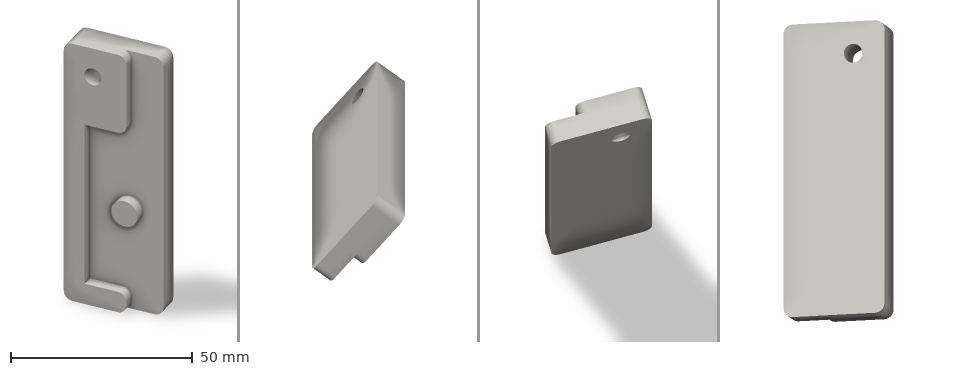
import cadquery as cq

width = 28.75
depth = 9.7
height = 81.9
corner_radius = 2.6

plate_thickness = 6.3
rim_height = depth - plate_thickness
spine_width = 6.4
arm_length = 19.1
top_arm_height = 24.8
bottom_arm_height = 6.5

hole_diameter = 5.25
hole_from_left = 8.9
hole_from_top = 8.9

pin_diameter = 8.0
pin_x = 18.5
pin_z = 31.8


def upright_box(x_size, y_size, z_size, y_start, z_start=0):
    """Box with its left side at X = 0 and its front at y_start."""
    box = cq.Workplane("XY").box(x_size, y_size, z_size, centered=False)
    return box.translate((0, y_start, z_start))


def cylinder_along_y(diameter, length, x, z):
    """Cylinder running back from the front face, Y = 0, towards +Y."""
    return cq.Workplane("XZ").center(x, z).circle(diameter / 2).extrude(-length)


def rim_arm(arm_height, z_start):
    """Rim arm reaching from the left side, with its free corners rounded."""
    arm = upright_box(arm_length, rim_height, arm_height, 0, z_start)
    return arm.edges("|Y").edges(">X").fillet(corner_radius)


plate = upright_box(width, plate_thickness, height, rim_height)
plate = plate.edges("|Y").fillet(corner_radius)

rim = upright_box(spine_width, rim_height, height, 0)
rim = rim.union(rim_arm(top_arm_height, height - top_arm_height))
rim = rim.union(rim_arm(bottom_arm_height, 0))
rim = rim.edges("|Y").edges("<X").fillet(corner_radius)

pin = cylinder_along_y(pin_diameter, depth, pin_x, pin_z)
hole = cylinder_along_y(hole_diameter, depth, hole_from_left, height - hole_from_top)

result = plate.union(rim).union(pin).cut(hole)